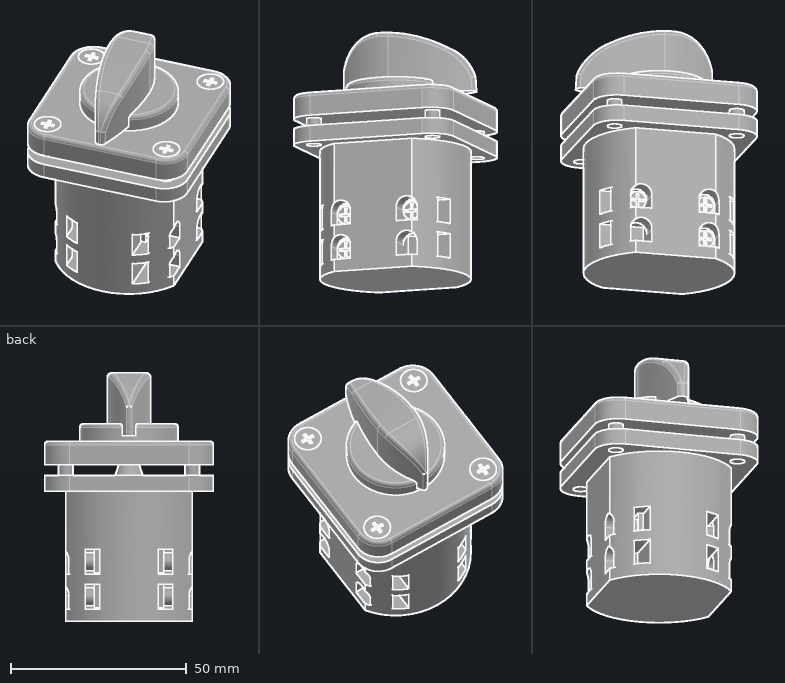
import cadquery as cq
import math

plate_side = 48.0
plate_corner_radius = 7.0
plate_edge_fillet = 1.05

base_plate_bottom = 37.0
base_plate_top = 41.5
face_plate_bottom = 44.5
face_plate_top = 51.3
blade_bottom = 52.8
dial_top = 56.25
blade_top = 70.75

barrel_radius = 21.5
barrel_width = 36.0
cone_bottom_radius = 3.95
cone_top_radius = 3.0

lower_row = 7.0
upper_row = 17
terminal_pitch = 20.0
chamber_width = 6.0
chamber_height = 7.0
window_center_x = 10.4
window_width = 4.0
chamber_inner_x = window_center_x - window_width / 2
clamp_thickness = 1.55
clamp_floor_gap = 0.4
terminal_head_diameter = 5.0
terminal_head_length = 3.55
terminal_cross_length = 3.8

screw_pitch = 36.0
screw_head_diameter = 7.6
screw_head_height = 2.1
screw_shank_diameter = 4.2
screw_cross_length = 3.6
cross_width = 0.7
cross_depth = 0.7

dial_radius = 14.0
dial_edge_fillet = 1.05
blade_half_width = 6.2
blade_front_overhang = 0.5
blade_front_y = -(plate_side / 2 + blade_front_overhang)
blade_front_half_width = 1.05
blade_rear_y = 16.3
blade_rear_corner_radius = 1.05
blade_rim_fillet = 1.3
blade_apex_y = 3.55
blade_rear_shoulder = (15.8, 60.85)
blade_front_bend = (-16.55, 65.7)
blade_front_shoulder = (-24.2, 57.1)


def rounded_plate(bottom, top):
    """Square plate with rounded corners between two heights."""
    plate = cq.Workplane("XY", origin=(0, 0, bottom)).rect(plate_side, plate_side).extrude(top - bottom)
    return plate.edges("|Z").fillet(plate_corner_radius)


def cylinder(diameter, bottom, top):
    """Upright cylinder on the Z axis."""
    return cq.Workplane("XY", origin=(0, 0, bottom)).circle(diameter / 2).extrude(top - bottom)


def cross_cutter(length, top):
    """Cross recess cut downwards from a height on the Z axis."""
    plane = cq.Workplane("XY", origin=(0, 0, top))
    return plane.rect(length, cross_width).extrude(-cross_depth).union(
        plane.rect(cross_width, length).extrude(-cross_depth)
    )


def screw_envelope():
    """Plate screw without its cross recess; it is also the shape of its hole."""
    head = cylinder(screw_head_diameter, face_plate_top - screw_head_height, face_plate_top)
    return head.union(cylinder(screw_shank_diameter, base_plate_bottom, face_plate_top))


def make_screw():
    """Plate screw with its head flush with the face plate."""
    return screw_envelope().cut(cross_cutter(screw_cross_length, face_plate_top))


screw_positions = [(sx * screw_pitch / 2, sy * screw_pitch / 2) for sx in (-1, 1) for sy in (-1, 1)]


def cut_screw_holes(body):
    """Stepped holes that match the plate screws."""
    for x, y in screw_positions:
        body = body.cut(screw_envelope().translate((x, y, 0)))
    return body


def chamber_cutter(side_x, y, row):
    """Arched chamber that opens on one flat side of the barrel."""
    floor = row - chamber_height / 2
    spring_height = floor + chamber_height - chamber_width / 2
    return (
        cq.Workplane("YZ", origin=(side_x * chamber_inner_x, 0, 0))
        .moveTo(y - chamber_width / 2, floor)
        .lineTo(y + chamber_width / 2, floor)
        .lineTo(y + chamber_width / 2, spring_height)
        .threePointArc((y, floor + chamber_height), (y - chamber_width / 2, spring_height))
        .close()
        .extrude(side_x * (barrel_radius - chamber_inner_x))
    )


def window_cutter(side_x, side_y, row):
    """Rectangular wire window on the round side, as deep as the inner wall of the chamber."""
    inner_y = (terminal_pitch - chamber_width) / 2
    depth = barrel_radius - inner_y
    return cq.Workplane("XY").box(window_width, depth, chamber_height).translate(
        (side_x * window_center_x, side_y * (inner_y + depth / 2), row)
    )


def terminal(side_x, y, row):
    """Clamp plate across the chamber and the screw head that stands on it."""
    clamp_height = chamber_height - clamp_floor_gap
    clamp = cq.Workplane("XY").box(clamp_thickness, chamber_width, clamp_height).translate(
        (side_x * (chamber_inner_x + clamp_thickness / 2), y, row + clamp_floor_gap / 2)
    )
    head = cylinder(terminal_head_diameter, 0, terminal_head_length)
    head = head.cut(cross_cutter(terminal_cross_length, terminal_head_length))
    head = head.rotate((0, 0, 0), (0, 1, 0), side_x * 90)
    return clamp.union(head.translate((side_x * (chamber_inner_x + clamp_thickness), y, row)))


def make_housing():
    """Barrel with its terminals, base plate and shaft cone."""
    barrel = cylinder(2 * barrel_radius, 0, base_plate_bottom).intersect(
        cq.Workplane("XY").box(barrel_width, 2 * barrel_radius, 2 * base_plate_bottom)
    )
    for row in (lower_row, upper_row):
        for side_x in (-1, 1):
            for side_y in (-1, 1):
                y = side_y * terminal_pitch / 2
                barrel = barrel.cut(chamber_cutter(side_x, y, row)).cut(window_cutter(side_x, side_y, row))
                if row == upper_row or side_y > 0:
                    barrel = barrel.union(terminal(side_x, y, row))
    base_plate = cut_screw_holes(rounded_plate(base_plate_bottom, base_plate_top))
    cone = (
        cq.Workplane("XY", origin=(0, 0, base_plate_top))
        .circle(cone_bottom_radius)
        .workplane(offset=face_plate_bottom - base_plate_top)
        .circle(cone_top_radius)
        .loft()
    )
    return barrel.union(base_plate).union(cone)


def arc_middle(start, end):
    """Middle point of the arc that leaves the start along the first axis and reaches the end."""
    run = end[0] - start[0]
    drop = start[1] - end[1]
    radius = (run**2 + drop**2) / (2 * drop)
    half_angle = math.atan2(drop, abs(run))
    middle_run = math.copysign(radius * math.sin(half_angle), run)
    return start[0] + middle_run, start[1] - radius * (1 - math.cos(half_angle))


def mirrored(point):
    """Point on the other side of the plane X = 0."""
    return -point[0], point[1]


def make_blade_column():
    """Leaf-shaped column with a blunt front end and a rounded rear corner."""
    widest = (blade_half_width, 0)
    front_corner = (blade_front_half_width, blade_front_y)
    rear_tip = (0, blade_rear_y)
    front_middle = arc_middle(widest[::-1], front_corner[::-1])[::-1]
    rear_middle = arc_middle(widest[::-1], rear_tip[::-1])[::-1]
    column = (
        cq.Workplane("XY", origin=(0, 0, blade_bottom))
        .moveTo(*mirrored(front_corner))
        .lineTo(*front_corner)
        .threePointArc(front_middle, widest)
        .threePointArc(rear_middle, rear_tip)
        .threePointArc(mirrored(rear_middle), mirrored(widest))
        .threePointArc(mirrored(front_middle), mirrored(front_corner))
        .close()
        .extrude(blade_top - blade_bottom)
    )
    return column.edges("|Z and >Y").fillet(blade_rear_corner_radius)


def make_blade_crest():
    """Side profile of the blade, extruded across its full width."""
    apex = (blade_apex_y, blade_top)
    return (
        cq.Workplane("YZ", origin=(-blade_half_width, 0, 0))
        .moveTo(blade_front_y, blade_bottom)
        .lineTo(blade_rear_y, blade_bottom)
        .lineTo(blade_rear_y, blade_rear_shoulder[1])
        .lineTo(*blade_rear_shoulder)
        .threePointArc(arc_middle(apex, blade_rear_shoulder), apex)
        .threePointArc(arc_middle(apex, blade_front_bend), blade_front_bend)
        .tangentArcPoint(blade_front_shoulder, relative=False)
        .close()
        .extrude(2 * blade_half_width)
    )


def make_blade():
    """Grip blade under a curved crest, with its rim and its front corners rounded."""
    blade = make_blade_column().intersect(make_blade_crest())
    return blade.edges("not <Z").edges("not (|Z and >Y)").fillet(blade_rim_fillet)


def make_face_unit():
    """Face plate with screw holes, round dial and grip blade."""
    plate = rounded_plate(face_plate_bottom, face_plate_top)
    plate = cut_screw_holes(plate.faces(">Z").edges().fillet(plate_edge_fillet))
    dial = cylinder(2 * dial_radius, face_plate_top, dial_top)
    dial = dial.faces(">Z").edges().fillet(dial_edge_fillet)
    return plate.union(dial).union(make_blade())


housing = make_housing()
face_unit = make_face_unit()
screws = [make_screw().translate((x, y, 0)) for x, y in screw_positions]

result = cq.Compound.makeCompound(
    [housing.val(), face_unit.val(), *[screw.val() for screw in screws]]
)